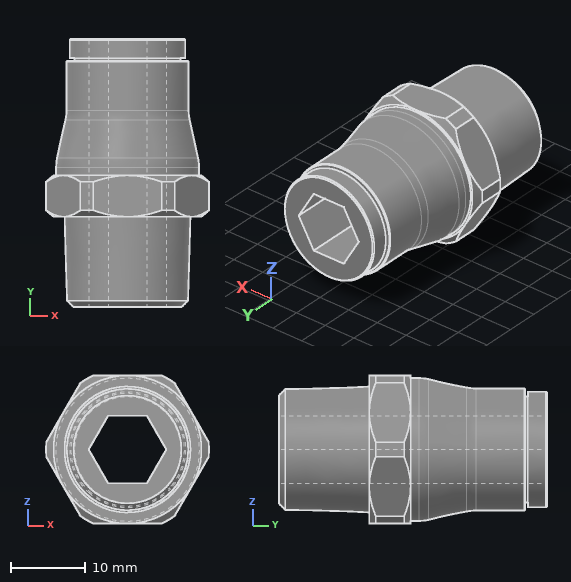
import cadquery as cq
import math

length = 36.2
end_chamfer_y = 0.9
hex_start = 12.2
hex_end = 17.77
shoulder_end = 18.85
body_start = 26.57
body_end = 33.23
collar_start = 33.6

end_radius = 7.28
thread_small_radius = 8.18
thread_large_radius = 8.5
shoulder_radius = 9.65
body_radius = 8.25
neck_radius = 7.15
collar_radius = 7.82
rim_chamfer = 0.18
body_chamfer = 0.1
blend_length = 1.25

hex_flats = 20.0
hex_corner_radius = 11.0
hex_chamfer = 0.87
socket_flats = 9.05


def hexagon(flats, start, end):
    """Hexagonal prism along +Y with two corners on the X axis."""
    corner_diameter = flats / math.cos(math.pi / 6)
    base = cq.Workplane("XZ", origin=(0, start, 0))
    return base.polygon(6, corner_diameter).extrude(start - end)


def turned_body():
    """Tapered thread, shoulder, blended cone, sleeve, neck and collar."""
    cone_span = body_start - shoulder_end - blend_length
    cone_angle = math.atan((shoulder_radius - body_radius) / cone_span)
    blend_rise = blend_length * math.tan(cone_angle / 2)
    profile = (
        cq.Workplane("XY")
        .lineTo(end_radius, 0)
        .lineTo(thread_small_radius, end_chamfer_y)
        .lineTo(thread_large_radius, hex_start)
        .lineTo(shoulder_radius, hex_start)
        .lineTo(shoulder_radius, shoulder_end)
        .tangentArcPoint((-blend_rise, blend_length))
        .lineTo(body_radius + blend_rise, body_start - blend_length)
        .tangentArcPoint((-blend_rise, blend_length))
        .lineTo(body_radius, body_end - body_chamfer)
        .lineTo(body_radius - body_chamfer, body_end)
        .lineTo(neck_radius, body_end)
        .lineTo(neck_radius, collar_start)
        .lineTo(collar_radius, collar_start)
        .lineTo(collar_radius, length - rim_chamfer)
        .lineTo(collar_radius - rim_chamfer, length)
        .lineTo(0, length)
        .close()
    )
    return profile.revolve(360, (0, 0, 0), (0, 1, 0))


def wrench_hexagon():
    """Hexagon with its corners rounded and chamfered by a turned envelope."""
    face_radius = hex_flats / 2
    envelope = (
        cq.Workplane("XY")
        .moveTo(0, hex_start)
        .lineTo(face_radius, hex_start)
        .lineTo(hex_corner_radius, hex_start + hex_chamfer)
        .lineTo(hex_corner_radius, hex_end - hex_chamfer)
        .lineTo(face_radius, hex_end)
        .lineTo(0, hex_end)
        .close()
        .revolve(360, (0, 0, 0), (0, 1, 0))
    )
    return hexagon(hex_flats, hex_start, hex_end).intersect(envelope)


socket = hexagon(socket_flats, 0, length)
result = turned_body().union(wrench_hexagon()).cut(socket)